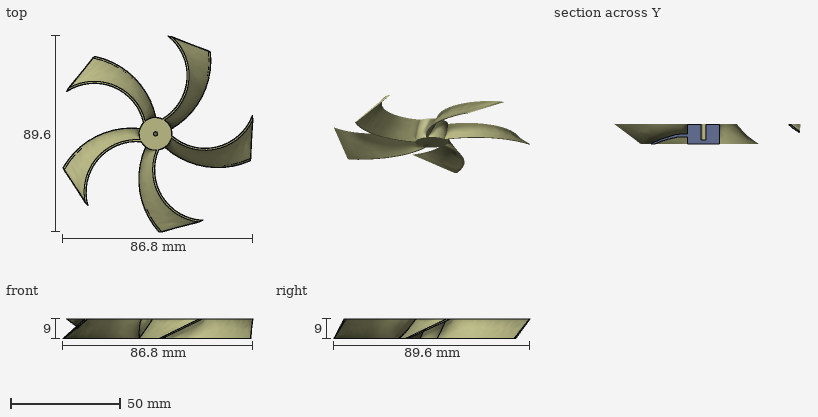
import cadquery as cq
import math

HUB_RADIUS = 7.5
BORE_DIAMETER = 1.9
BORE_DEPTH = 7.0
HEIGHT = 9.0

BLADE_COUNT = 5
TIP_RADIUS = 45.0
ROOT_RADIUS = HUB_RADIUS - 0.5
BLADE_THICKNESS = 0.95

ARC_CENTER_ANGLE = 36.0
TOP_CENTER_DISTANCE = 28.0
TOP_ARC_RADIUS = 24.0
BOTTOM_CENTER_DISTANCE = 35.25
BOTTOM_ARC_RADIUS = 36.2


def point_on_arc(center_distance, arc_radius, distance_from_axis):
    """Point of a strip arc, on its clockwise side, at a given distance from the hub axis."""
    cosine = (distance_from_axis**2 + center_distance**2 - arc_radius**2) / (
        2 * distance_from_axis * center_distance
    )
    angle = math.radians(ARC_CENTER_ANGLE) - math.acos(cosine)
    return (distance_from_axis * math.cos(angle), distance_from_axis * math.sin(angle))


def strip_wire(center_distance, outer_radius, z):
    """Closed outline of a blade strip: two concentric arcs joined at the root and the tip."""
    inner_radius = outer_radius - BLADE_THICKNESS
    middle_distance = (ROOT_RADIUS + TIP_RADIUS) / 2
    distances = (ROOT_RADIUS, middle_distance, TIP_RADIUS)
    outer = [point_on_arc(center_distance, outer_radius, d) for d in distances]
    inner = [point_on_arc(center_distance, inner_radius, d) for d in distances]
    return (
        cq.Workplane("XY", origin=(0, 0, z))
        .moveTo(*outer[0])
        .threePointArc(outer[1], outer[2])
        .lineTo(*inner[2])
        .threePointArc(inner[1], inner[0])
        .close()
        .val()
    )


def make_blade():
    bottom = strip_wire(BOTTOM_CENTER_DISTANCE, BOTTOM_ARC_RADIUS, 0)
    top = strip_wire(TOP_CENTER_DISTANCE, TOP_ARC_RADIUS, HEIGHT)
    return cq.Workplane(obj=cq.Solid.makeLoft([bottom, top], True))


def make_impeller():
    body = cq.Workplane("XY").circle(HUB_RADIUS).extrude(HEIGHT)
    blade = make_blade()
    for index in range(BLADE_COUNT):
        turn = index * 360 / BLADE_COUNT
        body = body.union(blade.rotate((0, 0, 0), (0, 0, 1), turn))
    bore = cq.Workplane("XY", origin=(0, 0, HEIGHT)).circle(BORE_DIAMETER / 2).extrude(-BORE_DEPTH)
    return body.cut(bore)


result = make_impeller()